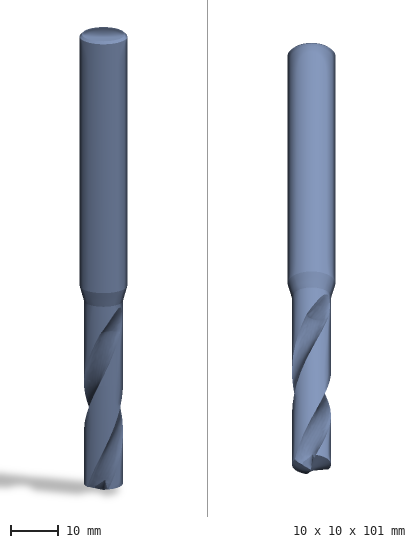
import cadquery as cq
import math

total_length = 101
shank_radius = 10.0 / 2
shank_bottom = 45.3
top_chamfer = 0.5
neck_radius = 4.09
neck_top = 42.0
split_height = 24.4
point_angle = 140
point_height = neck_radius / math.tan(math.radians(point_angle / 2))

flute_count = 2
flute_lead = 54.9
flute_half_angle = 35.5
core_radius = 1.7
helix_top = 35.7
flute_end = 41.2
run_out_sideways = 3.5
front_height = 26.9
front_angle = -90
cut_start = -1

lip_x = neck_radius * math.cos(math.radians(flute_half_angle))
lip_y = neck_radius * math.sin(math.radians(flute_half_angle))
flute_depth = lip_x - core_radius
flute_radius = (flute_depth**2 + lip_y**2) / (2 * flute_depth)
flute_offset = core_radius + flute_radius

gash_start = 0.2
gash_run_x = 2.2
gash_run_y = 1.9
gash_rise = 4.7
gash_depth = 6.1
gash_left = 5
gash_right = 0.6


def turn_angle(height):
    """Angle in degrees through which a flute turns over a height."""
    return 360 * height / flute_lead


def flute_angle(height):
    """Direction in degrees of a flute's middle at a height."""
    return front_angle + turn_angle(height - front_height)


def helical_cut():
    """Round groove twisted about the axis, up to the start of the run-out."""
    length = helix_top - cut_start
    cut = cq.Workplane("XY").pushPoints([(flute_offset, 0)]).circle(flute_radius)
    cut = cut.twistExtrude(length, turn_angle(length))
    return cut.rotate((0, 0, 0), (0, 0, 1), flute_angle(cut_start)).translate((0, 0, cut_start))


def run_out_cut():
    """Straight groove that leaves the neck along a slope."""
    rise = flute_end - helix_top
    clear_distance = neck_radius + flute_radius
    outward = math.sqrt(clear_distance**2 - run_out_sideways**2) - flute_offset
    section = cq.Wire.makeCircle(flute_radius, cq.Vector(flute_offset, 0, 0), cq.Vector(0, 0, 1))
    cut = cq.Solid.extrudeLinear(section, [], cq.Vector(outward, run_out_sideways, rise))
    cut = cq.Workplane(cut).rotate((0, 0, 0), (0, 0, 1), flute_angle(helix_top))
    return cut.translate((0, 0, helix_top))


def gash_cut():
    """V-groove, open downwards, that rises from the point into a flute."""
    corners = [
        cq.Vector(0, -gash_start, 0),
        cq.Vector(-gash_left, -gash_start, -gash_depth),
        cq.Vector(gash_right, -gash_start, -gash_depth),
    ]
    section = cq.Wire.makePolygon(corners, close=True)
    rise_vector = cq.Vector(gash_run_x, -gash_run_y, gash_rise)
    return cq.Workplane(cq.Solid.extrudeLinear(section, [], rise_vector))


def drill_blank():
    """Turned outline of the whole drill before fluting."""
    outline = [
        (0, 0),
        (neck_radius, point_height),
        (neck_radius, neck_top),
        (shank_radius, shank_bottom),
        (shank_radius, total_length - top_chamfer),
        (shank_radius - top_chamfer, total_length),
        (0, total_length),
    ]
    return cq.Workplane("XZ").polyline(outline).close().revolve(360, (0, 0, 0), (0, 1, 0))


def fluted_drill():
    """Drill blank with all its flutes and gashes cut."""
    drill = drill_blank()
    for index in range(flute_count):
        turn = 360 * index / flute_count
        for cut in (helical_cut(), run_out_cut(), gash_cut()):
            drill = drill.cut(cut.rotate((0, 0, 0), (0, 0, 1), turn))
    return drill


def lower_space():
    """Block that holds everything below the joint between the bodies."""
    width = 3 * shank_radius
    return cq.Workplane("XY").box(width, width, split_height, centered=(True, True, False))


def make_cutting_part(drill):
    """Pointed lower body."""
    return drill.intersect(lower_space())


def make_shank(drill):
    """Upper body with the neck, cone and clamping shank."""
    return drill.cut(lower_space())


drill = fluted_drill()
cutting_part = make_cutting_part(drill)
shank = make_shank(drill)

result = cq.Compound.makeCompound([cutting_part.val(), shank.val()])